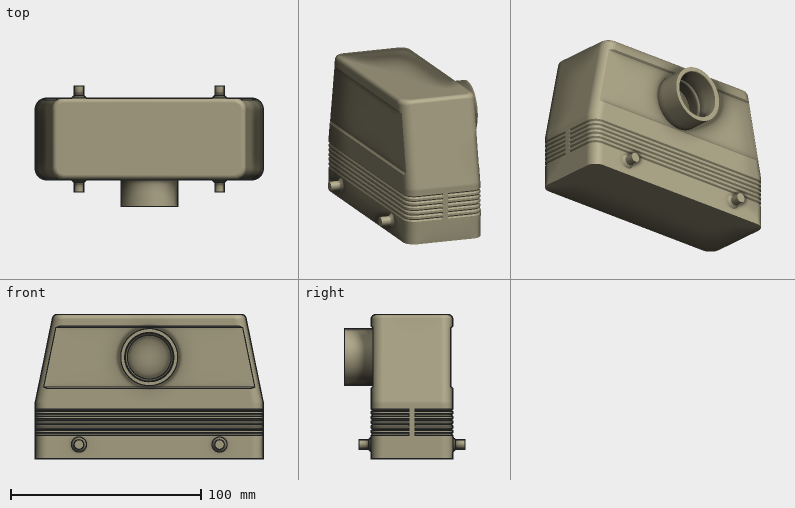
import cadquery as cq
import math

LENGTH = 120.0
WIDTH = 43.0
HEIGHT = 76.0
SHOULDER_Z = 29.6
TOP_LENGTH = 101.0
CORNER_RADIUS = 6.0
TOP_FILLET = 2.5
SHOULDER_FILLET = 5.0

RECESS_DEPTH = 1.0
RECESS_BOTTOM_Z = 37.0
RECESS_TOP_Z = 70.0

GROOVE_COUNT = 6
GROOVE_SPAN = 12.5
GROOVE_PITCH = GROOVE_SPAN / (GROOVE_COUNT - 1)
GROOVE_DEPTH = 0.7
FIRST_GROOVE_Z = 13.1
WEB_WIDTH = 3.0

PEG_X = 37.0
PEG_Z = 7.5
PEG_RADIUS = 2.5
PEG_SPAN = 55.9
PEG_CONE_HEIGHT = 1.5

ENTRY_Z = 53.5
ENTRY_RADIUS = 15.0
OVERALL_DEPTH = 63.5
ENTRY_REACH = OVERALL_DEPTH - PEG_SPAN / 2
ENTRY_BORE_RADIUS = 12.6
ENTRY_BORE_DEPTH = 12.4
ENTRY_MOUTH_CHAMFER = 0.4
ENTRY_THROAT_RADIUS = 11.5
ENTRY_THROAT_DEPTH = 6.0

CLEARANCE = 2.4


def hood_body():
    """Solid hood with rounded shoulders, corners and top edge."""
    profile = [
        (-LENGTH / 2, 0),
        (LENGTH / 2, 0),
        (LENGTH / 2, SHOULDER_Z),
        (TOP_LENGTH / 2, HEIGHT),
        (-TOP_LENGTH / 2, HEIGHT),
        (-LENGTH / 2, SHOULDER_Z),
    ]
    body = cq.Workplane("XZ").polyline(profile).close().extrude(WIDTH / 2, both=True)
    shoulders = cq.selectors.BoxSelector(
        (-LENGTH, -WIDTH, SHOULDER_Z - CLEARANCE),
        (LENGTH, WIDTH, SHOULDER_Z + CLEARANCE),
    )
    body = body.edges("|Y").edges(shoulders).fillet(SHOULDER_FILLET)
    body = body.edges("not (|Y or |X)").fillet(CORNER_RADIUS)
    return body.faces(">Z").edges().fillet(TOP_FILLET)


def face_recess(side):
    """Full-length recess on one long face (side -1 or +1), its long edges sloped at 45 degrees."""
    outer_y = WIDTH / 2 + CLEARANCE
    inner_y = WIDTH / 2 - RECESS_DEPTH
    slope = outer_y - inner_y
    profile = [
        (side * inner_y, RECESS_BOTTOM_Z + RECESS_DEPTH),
        (side * inner_y, RECESS_TOP_Z - RECESS_DEPTH),
        (side * outer_y, RECESS_TOP_Z - RECESS_DEPTH + slope),
        (side * outer_y, RECESS_BOTTOM_Z + RECESS_DEPTH - slope),
    ]
    return cq.Workplane("YZ").polyline(profile).close().extrude(LENGTH / 2, both=True)


def skirt_outline(z):
    """Rounded rectangle of the skirt at height z."""
    outline = cq.Sketch().rect(LENGTH, WIDTH).vertices().fillet(CORNER_RADIUS)
    return cq.Workplane("XY", origin=(0, 0, z)).placeSketch(outline)


def groove(z):
    """Ring with a 90-degree V section pointing inwards, open at the end-wall webs."""
    band = (
        cq.Workplane("XY", origin=(0, 0, z))
        .box(LENGTH + CLEARANCE, WIDTH + CLEARANCE, 2 * GROOVE_DEPTH)
    )
    below = skirt_outline(z - GROOVE_DEPTH).extrude(GROOVE_DEPTH, taper=45)
    above = skirt_outline(z + GROOVE_DEPTH).extrude(-GROOVE_DEPTH, taper=45)
    web = (
        cq.Workplane("XY", origin=(0, 0, z))
        .box(LENGTH + 2 * CLEARANCE, WEB_WIDTH, 4 * GROOVE_DEPTH)
    )
    return band.cut(below).cut(above).cut(web)


def peg(x, side):
    """Round peg with a 45-degree conical foot, on one long face."""
    face_y = WIDTH / 2
    profile = [
        (0, face_y - CLEARANCE),
        (PEG_RADIUS + PEG_CONE_HEIGHT, face_y - CLEARANCE),
        (PEG_RADIUS + PEG_CONE_HEIGHT, face_y),
        (PEG_RADIUS, face_y + PEG_CONE_HEIGHT),
        (PEG_RADIUS, PEG_SPAN / 2),
        (0, PEG_SPAN / 2),
    ]
    solid = cq.Workplane("XY").polyline(profile).close().revolve(360, (0, 0, 0), (0, 1, 0))
    if side < 0:
        solid = solid.mirror("XZ")
    return solid.translate((x, 0, PEG_Z))


def entry_tube():
    """Solid cylinder from inside the hood out to the mouth of the cable entry."""
    return (
        cq.Workplane("XZ", origin=(0, 0, ENTRY_Z))
        .circle(ENTRY_RADIUS)
        .extrude(ENTRY_REACH)
    )


def entry_bore():
    """Stepped blind bore: chamfered mouth, rounded step, narrower throat."""
    mouth_y = -ENTRY_REACH
    step_y = mouth_y + ENTRY_BORE_DEPTH
    step_radius = ENTRY_BORE_RADIUS - ENTRY_THROAT_RADIUS
    arc_inset = step_radius * (1 - math.sqrt(0.5))
    end_y = step_y + step_radius + ENTRY_THROAT_DEPTH
    solid = (
        cq.Workplane("XY")
        .moveTo(0, mouth_y)
        .lineTo(ENTRY_BORE_RADIUS + ENTRY_MOUTH_CHAMFER, mouth_y)
        .lineTo(ENTRY_BORE_RADIUS, mouth_y + ENTRY_MOUTH_CHAMFER)
        .lineTo(ENTRY_BORE_RADIUS, step_y)
        .threePointArc(
            (ENTRY_THROAT_RADIUS + arc_inset, step_y + arc_inset),
            (ENTRY_THROAT_RADIUS, step_y + step_radius),
        )
        .lineTo(ENTRY_THROAT_RADIUS, end_y)
        .lineTo(0, end_y)
        .close()
        .revolve(360, (0, 0, 0), (0, 1, 0))
    )
    return solid.translate((0, 0, ENTRY_Z))


result = hood_body()
for i in range(GROOVE_COUNT):
    result = result.cut(groove(FIRST_GROOVE_Z + i * GROOVE_PITCH))
for side in (-1, 1):
    result = result.cut(face_recess(side))
    for x in (-PEG_X, PEG_X):
        result = result.union(peg(x, side))
result = result.union(entry_tube()).cut(entry_bore())